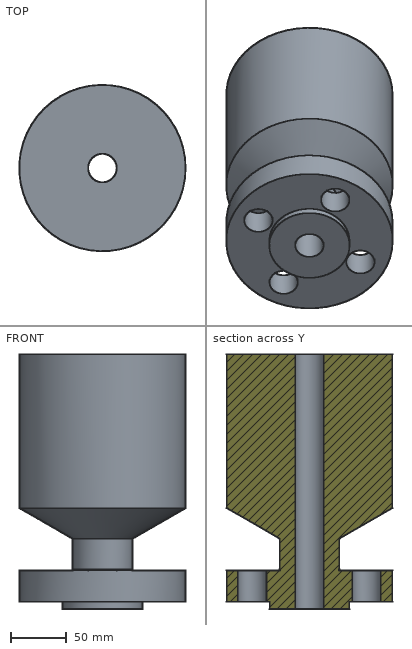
import cadquery as cq

total_height = 228.5
body_diameter = 149.3
bore_diameter = 25.4
neck_diameter = 54.0
neck_chamfer_height = 1.03
neck_chamfer_inset = 0.57
face_diameter = 72.0
face_height = 6.5
flange_height = 28.3
neck_height = 28.3
cone_height = 27.5
bolt_hole_diameter = 25.4
bolt_circle_diameter = 102.5
bolt_hole_count = 4

flange_bottom = face_height
flange_top = flange_bottom + flange_height
neck_top = flange_top + neck_height
cone_top = neck_top + cone_height


def revolved_body():
    """Raised face, flange, neck with bevelled foot, cone and cylinder turned about the Z axis."""
    body_radius = body_diameter / 2
    neck_radius = neck_diameter / 2
    face_radius = face_diameter / 2
    half_profile = [
        (0, 0),
        (face_radius, 0),
        (face_radius, flange_bottom),
        (body_radius, flange_bottom),
        (body_radius, flange_top),
        (neck_radius - neck_chamfer_inset, flange_top),
        (neck_radius, flange_top + neck_chamfer_height),
        (neck_radius, neck_top),
        (body_radius, cone_top),
        (body_radius, total_height),
        (0, total_height),
    ]
    return cq.Workplane("XZ").polyline(half_profile).close().revolve(360, (0, 0, 0), (0, 1, 0))


def axial_bore():
    """Straight hole through the full height."""
    return cq.Workplane("XY").circle(bore_diameter / 2).extrude(total_height)


def bolt_holes():
    """Bolt holes through the flange, on the X and Y axes."""
    return (
        cq.Workplane("XY")
        .workplane(offset=flange_bottom)
        .polarArray(bolt_circle_diameter / 2, 0, 360, bolt_hole_count)
        .circle(bolt_hole_diameter / 2)
        .extrude(flange_height)
    )


result = revolved_body().cut(axial_bore()).cut(bolt_holes())